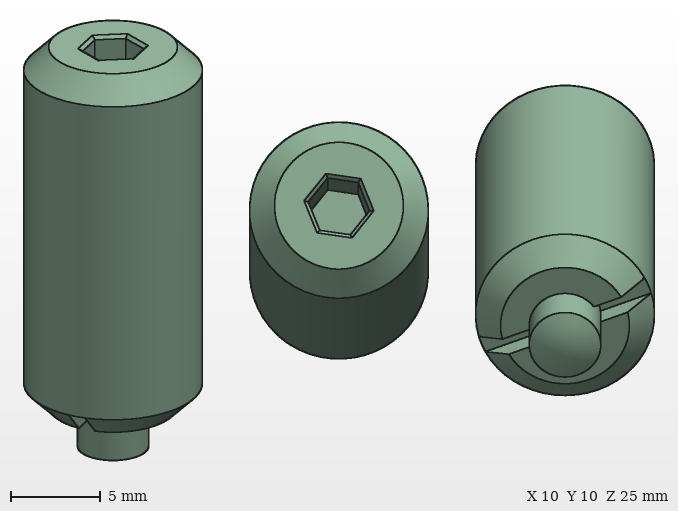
import cadquery as cq
import math

BODY_DIAMETER = 10.0
BODY_LENGTH = 22.0
END_CHAMFER = 1.4

PIN_DIAMETER = 4.0
PIN_PROTRUSION = 3.0
PIN_TIP_RADIUS = 4.0

SOCKET_ACROSS_FLATS = 3.0
SOCKET_DEPTH = 4.0
SOCKET_CHAMFER = 0.2

SLOT_WIDTH = 1.0
SLOT_DEPTH = END_CHAMFER

HEXAGON_SIDES = 6


def make_body():
    blank = cq.Workplane("XY").circle(BODY_DIAMETER / 2).extrude(BODY_LENGTH)
    return blank.faces("<Z or >Z").chamfer(END_CHAMFER)


def make_slot():
    return cq.Workplane("XY").box(
        SLOT_WIDTH, BODY_DIAMETER, SLOT_DEPTH, centered=(True, True, False)
    )


def make_pin():
    """Revolved pin crossing the slot and meeting the solid body at the slot floor."""
    radius = PIN_DIAMETER / 2
    tip_z = -PIN_PROTRUSION
    tip_center_z = tip_z + PIN_TIP_RADIUS
    shoulder_z = tip_center_z - math.sqrt(PIN_TIP_RADIUS**2 - radius**2)
    arc_mid_x = radius / 2
    arc_mid_z = tip_center_z - math.sqrt(PIN_TIP_RADIUS**2 - arc_mid_x**2)
    profile = (
        cq.Workplane("XZ")
        .moveTo(0, SLOT_DEPTH)
        .lineTo(radius, SLOT_DEPTH)
        .lineTo(radius, shoulder_z)
        .threePointArc((arc_mid_x, arc_mid_z), (0, tip_z))
        .close()
    )
    return profile.revolve(360, (0, 0), (0, 1))


def hexagon_corner_diameter(across_flats):
    return across_flats / math.cos(math.pi / HEXAGON_SIDES)


def make_socket():
    """Hexagonal cutter, flared at the mouth to form the lead-in chamfer."""
    narrow = hexagon_corner_diameter(SOCKET_ACROSS_FLATS)
    wide = hexagon_corner_diameter(SOCKET_ACROSS_FLATS + 2 * SOCKET_CHAMFER)
    floor = cq.Plane(origin=(0, 0, BODY_LENGTH - SOCKET_DEPTH), xDir=(0, 1, 0), normal=(0, 0, 1))
    hole = cq.Workplane(floor).polygon(HEXAGON_SIDES, narrow).extrude(SOCKET_DEPTH)
    mouth = (
        cq.Workplane(floor)
        .workplane(offset=SOCKET_DEPTH - SOCKET_CHAMFER)
        .polygon(HEXAGON_SIDES, narrow)
        .workplane(offset=SOCKET_CHAMFER)
        .polygon(HEXAGON_SIDES, wide)
        .loft(ruled=True)
    )
    return hole.union(mouth)


result = make_body().cut(make_slot()).union(make_pin()).cut(make_socket())